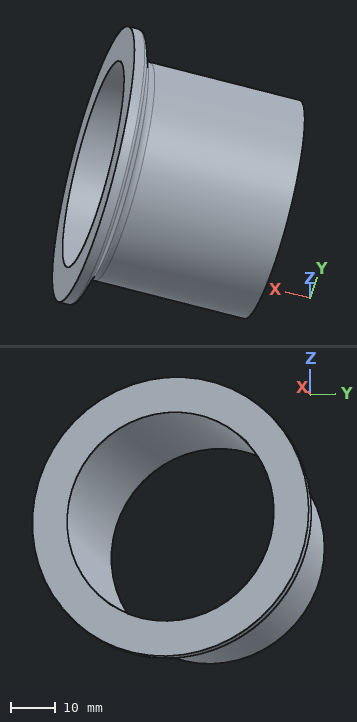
import cadquery as cq
import math

length = 42.0
bore_diameter = 47.8
tube_diameter = 50.8
flange_diameter = 64.0
rim_width = 2.9
cone_angle = 20.0
neck_fillet = 2.0
rim_fillet = 0.8

bore_radius = bore_diameter / 2
tube_radius = tube_diameter / 2
flange_radius = flange_diameter / 2

rim_start = length - rim_width
cone_run = (flange_radius - tube_radius) * math.tan(math.radians(cone_angle))
cone_start = rim_start - cone_run

body = (
    cq.Workplane("XY")
    .moveTo(0, bore_radius)
    .lineTo(0, tube_radius)
    .lineTo(cone_start, tube_radius)
    .lineTo(rim_start, flange_radius)
    .lineTo(length, flange_radius)
    .lineTo(length, bore_radius)
    .close()
    .revolve(360, (0, 0, 0), (1, 0, 0))
)


def round_circle(part, x, radius, fillet):
    """Fillet the circular edge of the given radius that lies at x."""
    margin = 0.05
    corner = (x - margin, -radius - margin, -radius - margin)
    opposite = (x + margin, radius + margin, radius + margin)
    inside = cq.selectors.BoxSelector(corner, opposite, boundingbox=True)
    return part.edges("%CIRCLE").edges(inside).fillet(fillet)


result = round_circle(body, cone_start, tube_radius, neck_fillet)
result = round_circle(result, rim_start, flange_radius, rim_fillet)